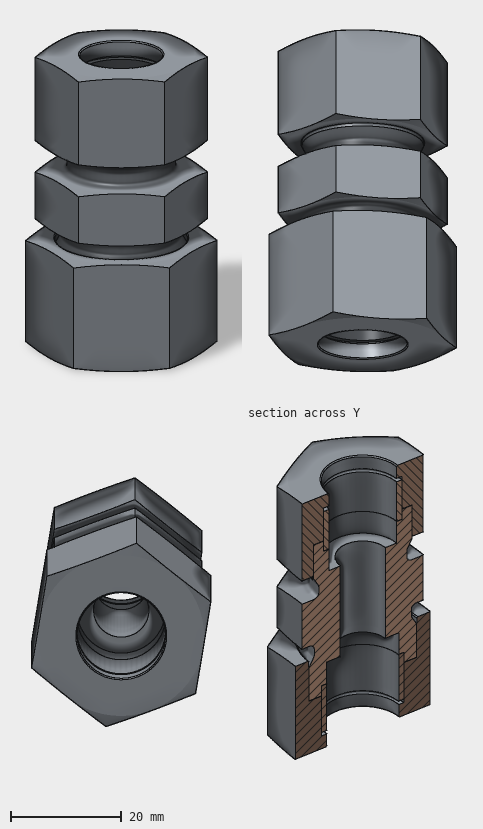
import cadquery as cq
import math


total_length = 55.5
flow_bore_diameter = 10.0
hex_chamfer_angle = 15.0

body_hex_flats = 27.05
body_hex_length = 10.0

upper_thread_diameter = 22.0
upper_neck_diameter = 19.7
upper_tube_diameter = 15.0
upper_ring_diameter = 17.3
upper_nut_flats = body_hex_flats
upper_nut_length = 17.0

lower_thread_diameter = 24.0
lower_tube_diameter = 16.0
lower_ring_diameter = 18.2
lower_nut_flats = 30.0
lower_nut_length = 20.5
lower_nut_gap = 3.05

undercut_depth = (upper_thread_diameter - upper_neck_diameter) / 2
undercut_length = 4.5
undercut_fillet = 1.0
undercut_cone_angle = 30.0

threaded_end_length = 12.0
tube_socket_depth = 7.0
ring_socket_depth = 2.2
nut_lip_length = 2.9
nut_lip_chamfer = 0.2
thread_mouth_chamfer = 0.2
ring_clearance = 0.65

body_hex_bottom = lower_nut_length + lower_nut_gap
body_hex_top = body_hex_bottom + body_hex_length
upper_nut_gap = total_length - upper_nut_length - body_hex_top


def cylinder(diameter, start, end):
    return cq.Workplane("XY").workplane(offset=start).circle(diameter / 2).extrude(end - start)


def chamfered_hex(flats, start, length):
    """Hexagonal prism with corners on the Y axis, turned down to a cone at both ends."""
    corner_radius = flats / math.sqrt(3)
    face_radius = flats / 2
    chamfer_drop = (corner_radius - face_radius) * math.tan(math.radians(hex_chamfer_angle))
    end = start + length
    prism = (
        cq.Workplane("XY")
        .workplane(offset=start)
        .polygon(6, 2 * corner_radius)
        .extrude(length)
        .rotate((0, 0, 0), (0, 0, 1), 90)
    )
    turned_blank = (
        cq.Workplane("XZ")
        .moveTo(0, start)
        .lineTo(face_radius, start)
        .lineTo(corner_radius, start + chamfer_drop)
        .lineTo(corner_radius, end - chamfer_drop)
        .lineTo(face_radius, end)
        .lineTo(0, end)
        .close()
        .revolve(360, (0, 0, 0), (0, 1, 0))
    )
    return prism.intersect(turned_blank)


def threaded_end(thread_diameter):
    """Solid threaded stub with its undercut: hexagon fillet, neck, blend arc and cone."""
    thread_radius = thread_diameter / 2
    neck_radius = thread_radius - undercut_depth
    angle = math.radians(undercut_cone_angle)
    blend_centre_radius = neck_radius + undercut_fillet
    blend_end_radius = blend_centre_radius - undercut_fillet * math.cos(angle)
    blend_mid_radius = blend_centre_radius - undercut_fillet * math.cos(angle / 2)
    cone_length = (thread_radius - blend_end_radius) / math.tan(angle)
    blend_end = undercut_length - cone_length
    blend_start = blend_end - undercut_fillet * math.sin(angle)
    blend_mid = blend_start + undercut_fillet * math.sin(angle / 2)
    fillet_mid_offset = undercut_fillet * (1 - math.sqrt(0.5))
    return (
        cq.Workplane("XZ")
        .lineTo(neck_radius + undercut_fillet, 0)
        .threePointArc(
            (neck_radius + fillet_mid_offset, fillet_mid_offset),
            (neck_radius, undercut_fillet),
        )
        .lineTo(neck_radius, blend_start)
        .threePointArc((blend_mid_radius, blend_mid), (blend_end_radius, blend_end))
        .lineTo(thread_radius, undercut_length)
        .lineTo(thread_radius, threaded_end_length)
        .lineTo(0, threaded_end_length)
        .close()
        .revolve(360, (0, 0, 0), (0, 1, 0))
    )


def end_socket(tube_diameter, ring_diameter):
    """Space bored into a threaded end for the tube and, at its mouth, the ring."""
    tube_socket = cylinder(tube_diameter, threaded_end_length - tube_socket_depth, threaded_end_length)
    ring_socket = cylinder(ring_diameter, threaded_end_length - ring_socket_depth, threaded_end_length)
    return tube_socket.union(ring_socket)


def make_nut(flats, length, gap, thread_diameter, tube_diameter, ring_diameter):
    """Nut that starts the given gap away from the body hexagon."""
    outer_face = gap + length
    lip_start = outer_face - nut_lip_length
    thread_bore = cylinder(thread_diameter, gap, threaded_end_length)
    ring_bore = cylinder(ring_diameter, threaded_end_length, lip_start)
    lip_bore = cylinder(tube_diameter, lip_start, outer_face)
    nut = chamfered_hex(flats, gap, length).cut(thread_bore).cut(ring_bore).cut(lip_bore)
    smallest_circle = cq.selectors.RadiusNthSelector(0)
    nut = nut.faces(">Z").edges(smallest_circle).chamfer(nut_lip_chamfer)
    return nut.faces("<Z").edges(smallest_circle).chamfer(thread_mouth_chamfer)


def make_ring(length, gap, tube_diameter, ring_diameter):
    """Sleeve around the tube, from the ring socket to just short of the nut lip."""
    start = threaded_end_length - ring_socket_depth
    end = gap + length - nut_lip_length - ring_clearance
    return cylinder(ring_diameter, start, end).cut(cylinder(tube_diameter, start, end))


def on_upper_end(shape):
    return shape.translate((0, 0, body_hex_top))


def on_lower_end(shape):
    return shape.rotate((0, 0, 0), (1, 0, 0), 180).translate((0, 0, body_hex_bottom))


def make_body():
    body = chamfered_hex(body_hex_flats, body_hex_bottom, body_hex_length)
    body = body.union(on_upper_end(threaded_end(upper_thread_diameter)))
    body = body.union(on_lower_end(threaded_end(lower_thread_diameter)))
    body = body.cut(cylinder(flow_bore_diameter, 0, total_length))
    body = body.cut(on_upper_end(end_socket(upper_tube_diameter, upper_ring_diameter)))
    return body.cut(on_lower_end(end_socket(lower_tube_diameter, lower_ring_diameter)))


body = make_body()
upper_nut = on_upper_end(
    make_nut(
        upper_nut_flats,
        upper_nut_length,
        upper_nut_gap,
        upper_thread_diameter,
        upper_tube_diameter,
        upper_ring_diameter,
    )
)
lower_nut = on_lower_end(
    make_nut(
        lower_nut_flats,
        lower_nut_length,
        lower_nut_gap,
        lower_thread_diameter,
        lower_tube_diameter,
        lower_ring_diameter,
    )
)
upper_ring = on_upper_end(
    make_ring(upper_nut_length, upper_nut_gap, upper_tube_diameter, upper_ring_diameter)
)
lower_ring = on_lower_end(
    make_ring(lower_nut_length, lower_nut_gap, lower_tube_diameter, lower_ring_diameter)
)

result = cq.Compound.makeCompound(
    [body.val(), upper_nut.val(), lower_nut.val(), upper_ring.val(), lower_ring.val()]
)